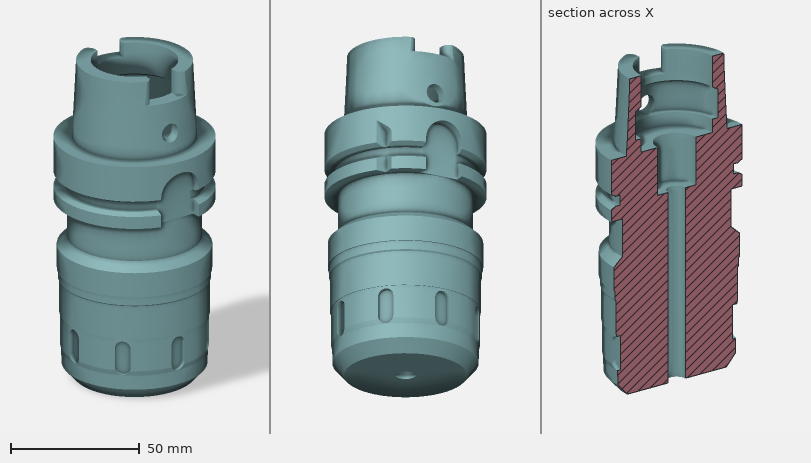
import cadquery as cq
import math


shank_length = 32.0
gauge_height = 6.3
gauge_radius = 48.01 / 2
taper_slope = 1 / 20
shank_root_radius = gauge_radius + gauge_height * taper_slope
shank_tip_radius = shank_root_radius - shank_length * taper_slope

flange_radius = 63.0 / 2
flange_height = 26.0
groove_center_z = -17.75
groove_mouth_width = 6.4
groove_throat_width = 4.0
groove_throat_radius = 29.4
groove_floor_radius = 27.5

neck_radius = 26.2
neck_end_z = -41.7
body_radius = 30.2
body_start_z = -45.2
collar_radius = 29.75
collar_start_z = -55.4
collar_end_z = -59.0
collar_chamfer_end_z = -59.5

nut_radius = 29.3
nut_grip_start_z = -73.6
nut_grip_radius = 29.0
nut_step_start_z = -87.0
nut_step_end_z = -89.0
nut_nose_radius = 28.5
nut_chamfer_z = -95.0
nut_chamfer_radius = 28.4
nut_end_radius = 23.9
nut_end_z = -100.0

clamp_bore_radius = 17.0
clamp_shoulder_z = 19.0
undercut_radius = 19.75
undercut_angle = 60.0
undercut_end_z = 5.6
clamp_floor_z = 0.0
tube_bore_radius = 9.2
tube_bore_depth = 20.0
coolant_hole_radius = 4.0
cross_hole_radius = 3.85
cross_hole_z = 9.2

tip_slot_width = 12.5
tip_slot_lip_radius = 3.3
tip_slot_flat_x = 20.9
tip_slot_depths = {-1: 6.0, 1: 10.0}

keyway_floor_x = 26.5
keyway_top_z = -4.75
keyway_widths = {-1: 16.0, 1: 18.0}

notch_wall = 20.0
notch_bend_radius = 3.3
notch_rim_z = -5.2

spanner_slot_count = 8
spanner_slot_width = 6.15
spanner_slot_length = 14.2
spanner_slot_center_z = -81.75
spanner_slot_floor = 27.0

overshoot = 5.0


def make_body():
    mouth_half = groove_mouth_width / 2
    throat_half = groove_throat_width / 2
    profile = [
        (0, shank_length),
        (shank_tip_radius, shank_length),
        (shank_root_radius, 0),
        (flange_radius, 0),
        (flange_radius, groove_center_z + mouth_half),
        (groove_throat_radius, groove_center_z + throat_half),
        (groove_floor_radius, groove_center_z + throat_half),
        (groove_floor_radius, groove_center_z - throat_half),
        (groove_throat_radius, groove_center_z - throat_half),
        (flange_radius, groove_center_z - mouth_half),
        (flange_radius, -flange_height),
        (neck_radius, -flange_height),
        (neck_radius, neck_end_z),
        (body_radius, body_start_z),
        (body_radius, collar_start_z),
        (collar_radius, collar_start_z),
        (collar_radius, collar_end_z),
        (nut_radius, collar_chamfer_end_z),
        (nut_radius, nut_grip_start_z),
        (nut_grip_radius, nut_grip_start_z),
        (nut_grip_radius, nut_step_start_z),
        (nut_nose_radius, nut_step_end_z),
        (nut_chamfer_radius, nut_chamfer_z),
        (nut_end_radius, nut_end_z),
        (0, nut_end_z),
    ]
    return cq.Workplane("XZ").polyline(profile).close().revolve(360, (0, 0), (0, 1))


def make_bores():
    undercut_step = undercut_radius - clamp_bore_radius
    undercut_z = clamp_shoulder_z - undercut_step / math.tan(math.radians(undercut_angle))
    tube_floor_z = clamp_floor_z - tube_bore_depth
    profile = [
        (0, shank_length),
        (clamp_bore_radius, shank_length),
        (clamp_bore_radius, clamp_shoulder_z),
        (undercut_radius, undercut_z),
        (undercut_radius, undercut_end_z),
        (clamp_bore_radius, undercut_end_z),
        (clamp_bore_radius, clamp_floor_z),
        (tube_bore_radius, clamp_floor_z),
        (tube_bore_radius, tube_floor_z),
        (coolant_hole_radius, tube_floor_z),
        (coolant_hole_radius, nut_end_z),
        (0, nut_end_z),
    ]
    return cq.Workplane("XZ").polyline(profile).close().revolve(360, (0, 0), (0, 1))


def make_cross_hole():
    return (
        cq.Workplane("YZ")
        .center(0, cross_hole_z)
        .circle(cross_hole_radius)
        .extrude(shank_root_radius + overshoot, both=True)
    )


def make_tip_slot(side, depth):
    """Slot through one side of the shank wall; its lips flare outwards on an arc."""
    half_width = tip_slot_width / 2
    lip_y = half_width + tip_slot_lip_radius
    lip_start_x = tip_slot_flat_x - tip_slot_lip_radius
    lip_mid_x = lip_start_x + tip_slot_lip_radius * math.sin(math.pi / 4)
    lip_mid_y = lip_y - tip_slot_lip_radius * math.cos(math.pi / 4)
    outer_x = shank_root_radius + overshoot
    outer_y = shank_root_radius
    return (
        cq.Workplane("XY", origin=(0, 0, shank_length - depth))
        .moveTo(0, -half_width)
        .lineTo(side * lip_start_x, -half_width)
        .threePointArc((side * lip_mid_x, -lip_mid_y), (side * tip_slot_flat_x, -lip_y))
        .lineTo(side * tip_slot_flat_x, -outer_y)
        .lineTo(side * outer_x, -outer_y)
        .lineTo(side * outer_x, outer_y)
        .lineTo(side * tip_slot_flat_x, outer_y)
        .lineTo(side * tip_slot_flat_x, lip_y)
        .threePointArc((side * lip_mid_x, lip_mid_y), (side * lip_start_x, half_width))
        .lineTo(0, half_width)
        .close()
        .extrude(depth)
    )


def make_keyway(side, width):
    """Round-topped keyway, open at the underside of the flange."""
    half_width = width / 2
    arc_center_z = keyway_top_z - half_width
    depth = flange_radius - keyway_floor_x + overshoot
    return (
        cq.Workplane("YZ", origin=(side * keyway_floor_x, 0, 0))
        .moveTo(-half_width, -flange_height)
        .lineTo(-half_width, arc_center_z)
        .threePointArc((0, keyway_top_z), (half_width, arc_center_z))
        .lineTo(half_width, -flange_height)
        .close()
        .extrude(side * depth)
    )


def make_index_notch():
    """Square corner notch at -X +Y; its inner wall bends out to a 45 degree run-out."""
    rim_y = math.sqrt(flange_radius**2 - notch_wall**2)
    bend_sin = math.sin(math.pi / 4)
    bend_end_y = notch_wall + notch_bend_radius * (1 - bend_sin)
    bend_end_z = notch_rim_z - (rim_y - bend_end_y)
    bend_start_z = bend_end_z - notch_bend_radius * bend_sin
    bend_mid_y = notch_wall + notch_bend_radius * (1 - math.cos(math.pi / 8))
    bend_mid_z = bend_start_z + notch_bend_radius * math.sin(math.pi / 8)
    return (
        cq.Workplane("YZ", origin=(-notch_wall, 0, 0))
        .moveTo(notch_wall, -flange_height)
        .lineTo(notch_wall, bend_start_z)
        .threePointArc((bend_mid_y, bend_mid_z), (bend_end_y, bend_end_z))
        .lineTo(rim_y, notch_rim_z)
        .lineTo(rim_y, -flange_height)
        .close()
        .extrude(-flange_radius)
    )


def make_spanner_slots():
    slot = (
        cq.Workplane("YZ", origin=(spanner_slot_floor, 0, spanner_slot_center_z))
        .slot2D(spanner_slot_length, spanner_slot_width, 90)
        .extrude(overshoot)
    )
    slots = cq.Workplane("XY")
    for index in range(spanner_slot_count):
        slots = slots.add(slot.rotate((0, 0, 0), (0, 0, 1), index * 360 / spanner_slot_count))
    return slots.combine()


result = make_body().cut(make_bores()).cut(make_cross_hole())
for side, depth in tip_slot_depths.items():
    result = result.cut(make_tip_slot(side, depth))
for side, width in keyway_widths.items():
    result = result.cut(make_keyway(side, width))
result = result.cut(make_index_notch()).cut(make_spanner_slots())